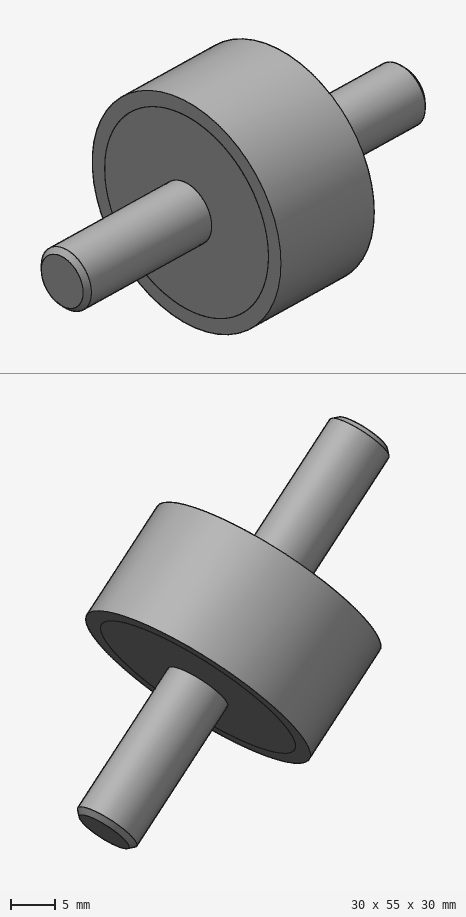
import cadquery as cq


total_length = 55.0
block_diameter = 30.0
block_length = 15.0
plate_diameter = 26.0
plate_thickness = 2.0
stud_diameter = 8.0
stud_chamfer = 0.65

half_block = block_length / 2
stud_length = (total_length - block_length) / 2


def cylinder_along_y(diameter, start_y, length):
    """Solid cylinder on the Y axis, running from start_y towards +Y."""
    return (
        cq.Workplane("XZ", origin=(0, start_y, 0))
        .circle(diameter / 2)
        .extrude(-length)
    )


def make_stud_plate():
    """Round plate, flush with the +Y face of the block, carrying a chamfered stud."""
    plate = cylinder_along_y(plate_diameter, half_block - plate_thickness, plate_thickness)
    stud = cylinder_along_y(stud_diameter, half_block, stud_length)
    stud = stud.faces(">Y").chamfer(stud_chamfer)
    return plate.union(stud)


def make_rubber_block():
    """Rubber cylinder with a recess for a plate in each end face."""
    block = cylinder_along_y(block_diameter, -half_block, block_length)
    for recess_start in (-half_block, half_block - plate_thickness):
        block = block.cut(cylinder_along_y(plate_diameter, recess_start, plate_thickness))
    return block


rubber_block = make_rubber_block()

stud_plates = []
for turn in (0, 180):
    stud_plate = make_stud_plate().rotate((0, 0, 0), (0, 0, 1), turn)
    stud_plates.append(stud_plate.val())

result = cq.Compound.makeCompound([rubber_block.val(), *stud_plates])